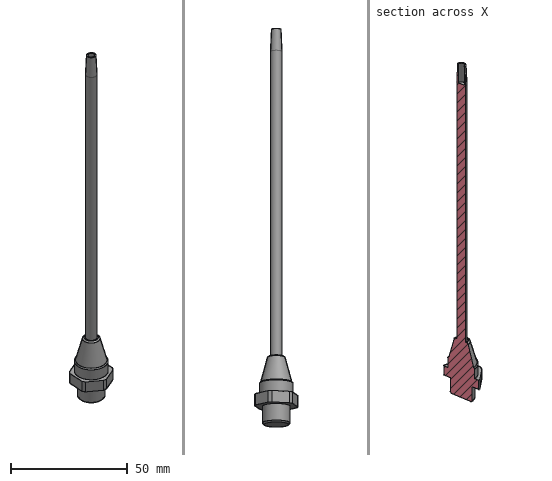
import cadquery as cq
import math

total_height = 173.0

plug_diameter = 12.0
plug_chamfer = 0.7

flange_across_flats = 17.0
flange_corner_diameter = 18.7
flange_bottom = 8.0
flange_thickness = 5.0
flange_top = flange_bottom + flange_thickness

collar_diameter = 14.5
collar_top = 18.5
collar_chamfer = 0.5
cone_top = 30.0
cone_top_diameter = 7.6
cone_rim_height = 0.5
cone_rim_bottom = cone_top - cone_rim_height
cone_rim_diameter = 6.0

rod_diameter = 5.0
tip_length = 9.7
tip_diameter = 4.2
bore_diameter = 3.0
bore_depth = tip_length


def cylinder(diameter, bottom, top):
    return cq.Workplane("XY").workplane(offset=bottom).circle(diameter / 2).extrude(top - bottom)


def frustum(bottom_diameter, top_diameter, bottom, top):
    return (
        cq.Workplane("XY").workplane(offset=bottom).circle(bottom_diameter / 2)
        .workplane(offset=top - bottom).circle(top_diameter / 2).loft(ruled=True)
    )


def make_plug():
    return cylinder(plug_diameter, 0, flange_bottom).faces("<Z").chamfer(plug_chamfer)


def make_flange():
    across_corners = flange_across_flats / math.cos(math.pi / 6)
    hexagon = (
        cq.Workplane("XY").workplane(offset=flange_bottom)
        .polygon(6, across_corners).extrude(flange_thickness)
        .rotate((0, 0, 0), (0, 0, 1), 90)
    )
    return hexagon.intersect(cylinder(flange_corner_diameter, flange_bottom, flange_top))


def make_collar():
    return cylinder(collar_diameter, flange_top, collar_top).faces(">Z").chamfer(collar_chamfer)


def make_cone():
    cone_base_diameter = collar_diameter - 2 * collar_chamfer
    cone = frustum(cone_base_diameter, cone_top_diameter, collar_top, cone_rim_bottom)
    rim = frustum(cone_top_diameter, cone_rim_diameter, cone_rim_bottom, cone_top)
    return cone.union(rim)


def make_rod():
    tip_bottom = total_height - tip_length
    shank = cylinder(rod_diameter, cone_top, tip_bottom)
    tip = frustum(rod_diameter, tip_diameter, tip_bottom, total_height)
    bore = cylinder(bore_diameter, total_height - bore_depth, total_height)
    return shank.union(tip).cut(bore)


result = make_plug().union(make_flange()).union(make_collar()).union(make_cone()).union(make_rod())